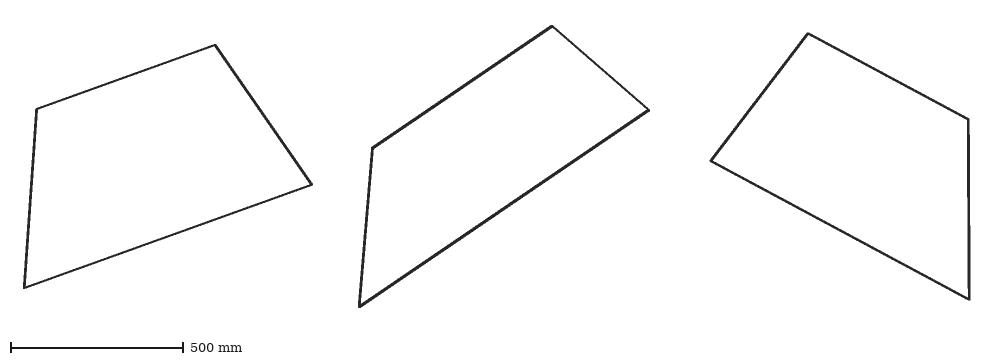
import cadquery as cq
import math

height = 443.0
bottom_width = 1067.0
top_width = 661.0
thickness = 6.0
lean = 24.0

lean_radians = math.radians(lean)
slope_length = (height - thickness * math.sin(lean_radians)) / math.cos(lean_radians)

panel = (
    cq.Workplane("YZ")
    .moveTo(-bottom_width / 2, 0)
    .lineTo(bottom_width / 2, 0)
    .lineTo(top_width / 2, slope_length)
    .lineTo(-top_width / 2, slope_length)
    .close()
    .extrude(thickness)
)

result = panel.rotate((0, 0, 0), (0, 1, 0), -lean)